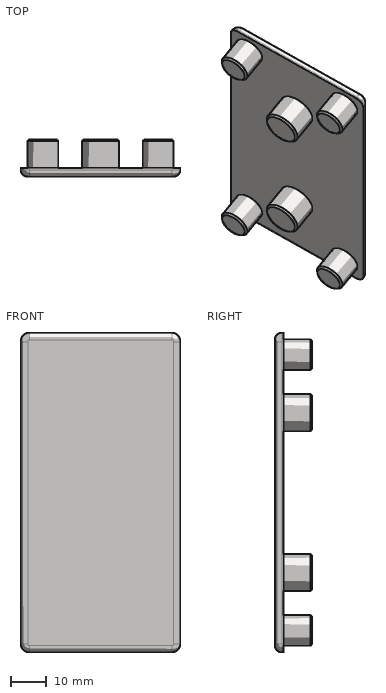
import cadquery as cq

width = 45.0
height = 90.0
total_depth = 10.5
plate_thickness = 2.5
corner_radius = 2.5
front_edge_radius = 2.0

corner_peg_diameter = 8.7
corner_peg_x = 16.2
corner_peg_z = 38.8
middle_peg_diameter = 10.5
middle_peg_z = 22.5
peg_tip_chamfer = 0.5
peg_length = total_depth - plate_thickness


def make_plate():
    """Rectangular plate with rounded corners and a rounded front rim."""
    plate = cq.Workplane("XY").box(width, plate_thickness, height, centered=(True, False, True))
    plate = plate.edges("|Y").fillet(corner_radius)
    return plate.faces("<Y").edges().fillet(front_edge_radius)


def make_peg(diameter, x, z):
    """Round peg standing on the back face, chamfered at its tip."""
    return (
        cq.Workplane("XZ", origin=(x, plate_thickness, z))
        .circle(diameter / 2)
        .extrude(-peg_length)
        .faces(">Y")
        .chamfer(peg_tip_chamfer)
    )


result = make_plate()

for side in (-1, 1):
    result = result.union(make_peg(middle_peg_diameter, 0, side * middle_peg_z))
    for end in (-1, 1):
        result = result.union(make_peg(corner_peg_diameter, side * corner_peg_x, end * corner_peg_z))